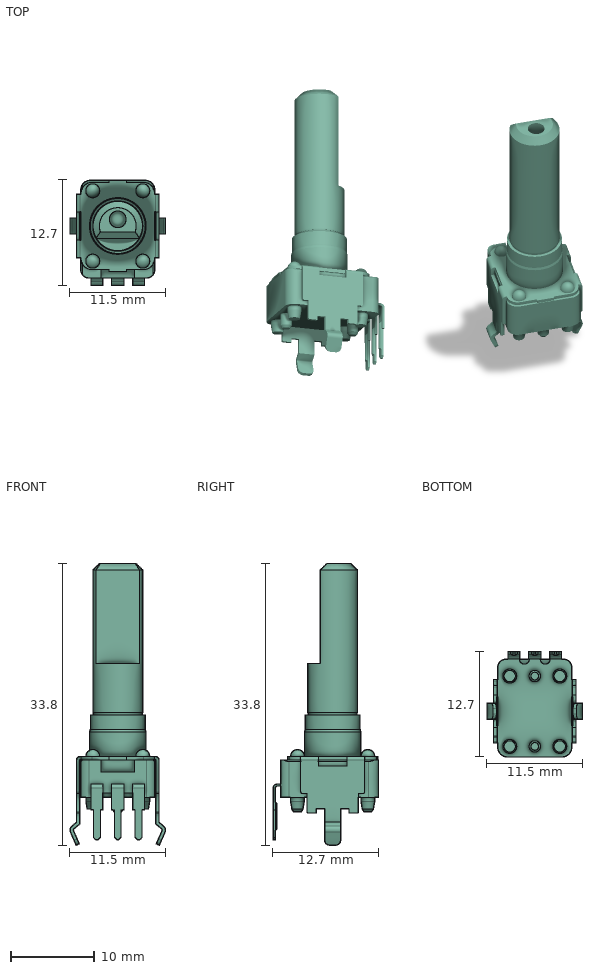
import cadquery as cq
import math


CASE_WIDTH = 8.9
CASE_REAR = 5.5
CASE_FRONT = -6.25
CASE_TOP = 4.48
MID_HEIGHT = CASE_TOP / 2
CASE_CORNER_RADIUS = 1.0
CASE_REAR_CORNER_RADIUS = 1.2
CASE_CHAMFER_IN = 0.2
CASE_CHAMFER_DOWN = 0.18
POCKET_WIDTH = 4.0
POCKET_FLOOR = 3.05
POCKET_DEPTH = 1.35
NOTCH_RADIUS = 0.6
NOTCH_HEIGHT = 0.5

SHEET = 0.42
COVER_TOP = CASE_TOP + SHEET
PLATE_WIDTH = 8.8
PLATE_HALF_LENGTH = 5.23
PLATE_CORNER_RADIUS = 1.3
TAB_WIDTH = 2.1
TAB_REACH = 5.43
COVER_HALF_WIDTH = 4.95
FLAP_WIDTH = 7.65
FLAP_SHOULDER = 0.45
FLAP_SKIRT_WIDTH = 6.2
FLAP_BOTTOM = -1.9
FLAP_CORNER_RADIUS = 0.2
FLAP_NOTCH_TOP = -1.4
FLAP_FOOT_INSIDE = 1.95
WINDOW_WIDTH = 3.4
WINDOW_BOTTOM = 3.78

LEG_WIDTH = 1.95
LEG_TIP_RADIUS = 0.65
LEG_KNEE_Z = -3.08
LEG_ELBOW_X = 5.607
LEG_ELBOW_Z = -3.82
LEG_ELBOW_RADIUS = 0.62
LEG_TIP_X = 4.8
PART_BOTTOM = -5.75

RIVET_RADIUS = 0.84
RIVET_X = 3.0
RIVET_Y = 4.22
RIVET_STRAIGHT = 0.5
RIVET_TIP_RADIUS = 0.68
RIVET_BOTTOM = -1.43
PEG_TIP_RADIUS = 0.46
PEG_BOTTOM = -1.75

BUSHING_RADIUS = 3.4
BUSHING_NECK_RADIUS = 3.3
BUSHING_STEP_LOW = 7.85
BUSHING_STEP_HIGH = 8.15
BUSHING_TOP = 9.9
SHAFT_RADIUS = 3.0
SHAFT_TOP = 28.05
SHAFT_CHAMFER = 0.8
SHAFT_NECK_RADIUS = 2.95
SHAFT_NECK_TOP = 10.2
FLAT_LENGTH = 12.0
FLAT_OFFSET = 1.5
SHAFT_HOLE_RADIUS = 1.0
SHAFT_HOLE_Y = 0.8
SHAFT_HOLE_DEPTH = 2.0

TERMINAL_PITCH = 2.5
TERMINAL_SHEET = 0.27
TERMINAL_FRONT = -7.15
TERMINAL_TOP = 1.6
TERMINAL_BEND_RADIUS = 0.5
TERMINAL_WIDTH = 1.45
MIDDLE_TERMINAL_WIDTH = 1.55
TERMINAL_SHOULDER = -1.5
PIN_WIDTH = 0.87
MIDDLE_PIN_WIDTH = 0.79
PIN_BOTTOM = -5.1
PIN_TIP_CHAMFER = 0.3
RIB_TOP = -0.55
RIB_BOTTOM = -4.0
RIB_DEPTH = 0.2
RIB_WIDTH = 0.7


def block(x_min, x_max, y_min, y_max, z_min, z_max):
    """Axis-aligned box from its limits."""
    size = (x_max - x_min, y_max - y_min, z_max - z_min)
    return cq.Workplane("XY").box(*size, centered=False).translate((x_min, y_min, z_min))


def make_case():
    """Rounded block with chamfered side edges, a front pocket and two bottom notches."""
    half_width = CASE_WIDTH / 2
    case = block(-half_width, half_width, CASE_FRONT, CASE_REAR, 0, CASE_TOP)
    case = case.edges("|Z and <Y").fillet(CASE_CORNER_RADIUS)
    case = case.edges("|Z and >Y").fillet(CASE_REAR_CORNER_RADIUS)
    edge_wedge = (
        cq.Workplane("XZ")
        .polyline([
            (half_width, CASE_TOP - CASE_CHAMFER_DOWN),
            (half_width, CASE_TOP),
            (half_width - CASE_CHAMFER_IN, CASE_TOP),
        ])
        .close()
        .extrude(CASE_WIDTH, both=True)
    )
    case = case.cut(edge_wedge).cut(edge_wedge.mirror("YZ"))
    half_pocket = POCKET_WIDTH / 2
    pocket = block(
        -half_pocket, half_pocket, CASE_FRONT, CASE_FRONT + POCKET_DEPTH, POCKET_FLOOR, CASE_TOP
    )
    notches = (
        cq.Workplane("XY")
        .pushPoints([(side * TERMINAL_PITCH / 2, CASE_FRONT) for side in (-1, 1)])
        .circle(NOTCH_RADIUS)
        .extrude(NOTCH_HEIGHT)
    )
    return case.cut(pocket).cut(notches)


def make_cover_plate():
    """Top plate with rounded corners and a short tab at the front and the rear."""
    plate = (
        cq.Workplane("XY", origin=(0, 0, CASE_TOP))
        .rect(PLATE_WIDTH, 2 * PLATE_HALF_LENGTH)
        .extrude(SHEET)
        .edges("|Z")
        .fillet(PLATE_CORNER_RADIUS)
    )
    tabs = cq.Workplane("XY", origin=(0, 0, CASE_TOP)).rect(TAB_WIDTH, 2 * TAB_REACH).extrude(SHEET)
    return plate.union(tabs)


def make_flap():
    """Side wall of the +X side, bent down from the plate, with a window at the bend."""
    half_flap = FLAP_WIDTH / 2
    half_skirt = FLAP_SKIRT_WIDTH / 2
    inner_x = COVER_HALF_WIDTH - SHEET
    wall = block(inner_x, COVER_HALF_WIDTH, -half_flap, half_flap, FLAP_SHOULDER, CASE_TOP)
    wall = wall.edges("|X and <Z").fillet(FLAP_CORNER_RADIUS)
    skirt = block(inner_x, COVER_HALF_WIDTH, -half_skirt, half_skirt, FLAP_BOTTOM, CASE_TOP)
    skirt = skirt.edges("|X and <Z").fillet(FLAP_CORNER_RADIUS)
    foot_gap = block(
        inner_x, COVER_HALF_WIDTH, -FLAP_FOOT_INSIDE, FLAP_FOOT_INSIDE, FLAP_BOTTOM, FLAP_NOTCH_TOP
    )
    bend = (
        cq.Workplane("XZ", origin=(0, half_flap, 0))
        .moveTo(PLATE_WIDTH / 2 - SHEET, CASE_TOP)
        .lineTo(COVER_HALF_WIDTH, CASE_TOP)
        .radiusArc((inner_x, COVER_TOP), -SHEET)
        .lineTo(PLATE_WIDTH / 2 - SHEET, COVER_TOP)
        .close()
        .extrude(FLAP_WIDTH)
    )
    window = block(
        PLATE_WIDTH / 2, COVER_HALF_WIDTH, -WINDOW_WIDTH / 2, WINDOW_WIDTH / 2, WINDOW_BOTTOM, COVER_TOP
    )
    return wall.union(skirt).cut(foot_gap).union(bend).cut(window)


def offset_path(path, distance):
    """Open path of three or more points shifted sideways, with mitred corners."""
    normals = []
    for (x0, z0), (x1, z1) in zip(path, path[1:]):
        length = math.hypot(x1 - x0, z1 - z0)
        normals.append(((z0 - z1) / length, (x1 - x0) / length))
    shifted = []
    for index, (x, z) in enumerate(path):
        before = normals[max(index - 1, 0)]
        after = normals[min(index, len(normals) - 1)]
        miter = distance / (1 + before[0] * after[0] + before[1] * after[1])
        shifted.append((x + miter * (before[0] + after[0]), z + miter * (before[1] + after[1])))
    return shifted


def make_leg():
    """Snap-in leg of the +X side: straight, then kinked outward and back inward."""
    middle_x = COVER_HALF_WIDTH - SHEET / 2
    slope = math.atan2(LEG_ELBOW_X - LEG_TIP_X, LEG_ELBOW_Z - PART_BOTTOM)
    tip_z = PART_BOTTOM + SHEET / 2 * math.sin(slope)
    path = [
        (middle_x, MID_HEIGHT),
        (middle_x, LEG_KNEE_Z),
        (LEG_ELBOW_X, LEG_ELBOW_Z),
        (LEG_TIP_X, tip_z),
    ]
    outline = offset_path(path, SHEET / 2) + offset_path(path, -SHEET / 2)[::-1]
    leg = (
        cq.Workplane("XZ", origin=(0, LEG_WIDTH / 2, 0))
        .polyline(outline)
        .close()
        .extrude(LEG_WIDTH)
    )
    leg = leg.edges("|Y and >X").fillet(LEG_ELBOW_RADIUS)
    inner_elbow = cq.selectors.NearestToPointSelector((LEG_ELBOW_X - SHEET / 2, 0, LEG_ELBOW_Z))
    leg = leg.edges("|Y").edges(inner_elbow).fillet(LEG_ELBOW_RADIUS - SHEET)
    tip_edges = cq.selectors.BoxSelector(
        (0, -LEG_WIDTH, PART_BOTTOM - SHEET), (COVER_HALF_WIDTH + SHEET, LEG_WIDTH, PART_BOTTOM + SHEET)
    )
    return leg.edges(tip_edges).edges("not |Y").fillet(LEG_TIP_RADIUS)


def make_rivet():
    """Corner rivet: domed head above the cover, straight then tapered end below the case."""
    return (
        cq.Workplane("XZ")
        .moveTo(0, RIVET_BOTTOM)
        .lineTo(RIVET_TIP_RADIUS, RIVET_BOTTOM)
        .lineTo(RIVET_RADIUS, -RIVET_STRAIGHT)
        .lineTo(RIVET_RADIUS, COVER_TOP)
        .radiusArc((0, COVER_TOP + RIVET_RADIUS), -RIVET_RADIUS)
        .close()
        .revolve()
    )


def make_peg():
    """Short peg under the case with a tapered tip."""
    return (
        cq.Workplane("XZ")
        .polyline([
            (0, PEG_BOTTOM),
            (PEG_TIP_RADIUS, PEG_BOTTOM),
            (RIVET_TIP_RADIUS, RIVET_BOTTOM),
            (RIVET_TIP_RADIUS, MID_HEIGHT),
            (0, MID_HEIGHT),
        ])
        .close()
        .revolve()
    )


def make_bushing():
    """Stepped round bushing around the shaft."""
    return (
        cq.Workplane("XZ")
        .polyline([
            (0, CASE_TOP),
            (BUSHING_RADIUS, CASE_TOP),
            (BUSHING_RADIUS, BUSHING_STEP_LOW),
            (BUSHING_NECK_RADIUS, BUSHING_STEP_HIGH),
            (BUSHING_NECK_RADIUS, BUSHING_TOP),
            (0, BUSHING_TOP),
        ])
        .close()
        .revolve()
    )


def make_shaft():
    """Round shaft on a slim neck, with a flat on the front, a chamfered end and an off-centre end hole."""
    neck = cq.Workplane("XY", origin=(0, 0, CASE_TOP)).circle(SHAFT_NECK_RADIUS)
    neck = neck.extrude(SHAFT_NECK_TOP - CASE_TOP)
    shaft = cq.Workplane("XY", origin=(0, 0, SHAFT_NECK_TOP)).circle(SHAFT_RADIUS)
    shaft = shaft.extrude(SHAFT_TOP - SHAFT_NECK_TOP)
    flat_cut = block(
        -SHAFT_RADIUS, SHAFT_RADIUS, -SHAFT_RADIUS, -FLAT_OFFSET, SHAFT_TOP - FLAT_LENGTH, SHAFT_TOP
    )
    shaft = shaft.cut(flat_cut).faces(">Z").chamfer(SHAFT_CHAMFER)
    hole = (
        cq.Workplane("XY", origin=(0, SHAFT_HOLE_Y, SHAFT_TOP))
        .circle(SHAFT_HOLE_RADIUS)
        .extrude(-SHAFT_HOLE_DEPTH)
    )
    return shaft.cut(hole).union(neck)


def make_terminal(width, pin_width):
    """Bent terminal at x = 0: wide upper part, narrow pin, rounded rib on its back."""
    back_y = TERMINAL_FRONT + TERMINAL_SHEET
    strip = (
        cq.Workplane("YZ", origin=(-width / 2, 0, 0))
        .polyline([
            (CASE_FRONT + TERMINAL_SHEET, TERMINAL_TOP),
            (TERMINAL_FRONT, TERMINAL_TOP),
            (TERMINAL_FRONT, TERMINAL_SHOULDER),
            (back_y, TERMINAL_SHOULDER),
            (back_y, TERMINAL_TOP - TERMINAL_SHEET),
            (CASE_FRONT + TERMINAL_SHEET, TERMINAL_TOP - TERMINAL_SHEET),
        ])
        .close()
        .extrude(width)
    )
    strip = strip.edges("|X and >Z and <Y").fillet(TERMINAL_BEND_RADIUS)
    inner_bend = cq.selectors.NearestToPointSelector((0, back_y, TERMINAL_TOP - TERMINAL_SHEET))
    strip = strip.edges("|X").edges(inner_bend).fillet(TERMINAL_BEND_RADIUS - TERMINAL_SHEET)
    half_pin = pin_width / 2
    pin = block(-half_pin, half_pin, TERMINAL_FRONT, back_y, PIN_BOTTOM, TERMINAL_SHOULDER)
    pin = pin.edges("|Y and <Z").chamfer(PIN_TIP_CHAMFER)
    rib = (
        cq.Workplane("XY", origin=(0, 0, RIB_BOTTOM))
        .moveTo(-RIB_WIDTH / 2, back_y)
        .threePointArc((0, back_y + RIB_DEPTH), (RIB_WIDTH / 2, back_y))
        .close()
        .extrude(RIB_TOP - RIB_BOTTOM)
    )
    rib = rib.intersect(
        cq.Workplane("YZ", origin=(-RIB_WIDTH / 2, 0, 0))
        .polyline([
            (back_y, RIB_TOP),
            (back_y + RIB_DEPTH, RIB_TOP - RIB_DEPTH),
            (back_y + RIB_DEPTH, RIB_BOTTOM + RIB_DEPTH),
            (back_y, RIB_BOTTOM),
        ])
        .close()
        .extrude(RIB_WIDTH)
    )
    return strip.union(pin).union(rib)


result = make_case().union(make_cover_plate()).union(make_bushing()).union(make_shaft())

side_wall = make_flap().union(make_leg())
result = result.union(side_wall).union(side_wall.mirror("YZ"))

for y in (-RIVET_Y, RIVET_Y):
    for x in (-RIVET_X, RIVET_X):
        result = result.union(make_rivet().translate((x, y, 0)))
    result = result.union(make_peg().translate((0, y, 0)))

for x in (-TERMINAL_PITCH, TERMINAL_PITCH):
    result = result.union(make_terminal(TERMINAL_WIDTH, PIN_WIDTH).translate((x, 0, 0)))
result = result.union(make_terminal(MIDDLE_TERMINAL_WIDTH, MIDDLE_PIN_WIDTH))